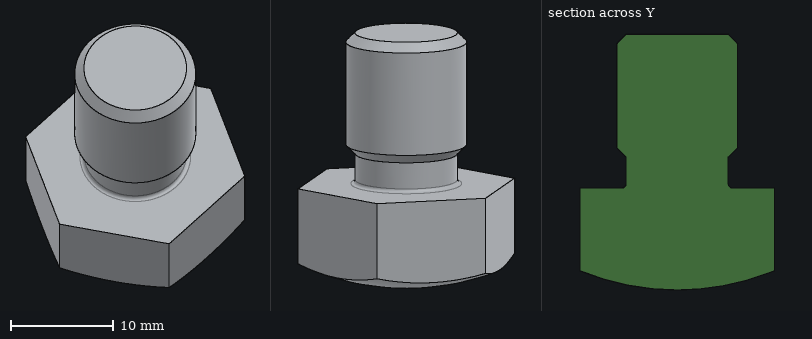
import cadquery as cq
import math

total_height = 25.0
head_height = 10.0
across_flats = 19.0
dome_radius = 25.0
shank_diameter = 11.85
neck_diameter = 10.02
neck_length = 3.0
neck_fillet = 0.4

across_corners = across_flats / math.cos(math.radians(30))
shank_radius = shank_diameter / 2
neck_radius = neck_diameter / 2
chamfer = shank_radius - neck_radius
neck_top = head_height + neck_length


def make_head():
    """Hexagonal head with corners on the Y axis and a domed underside at Z = 0."""
    hexagon = (
        cq.Workplane("XY")
        .polygon(6, across_corners)
        .extrude(head_height)
        .rotate((0, 0, 0), (0, 0, 1), 90)
    )
    dome = cq.Workplane("XY").sphere(dome_radius).translate((0, 0, dome_radius))
    return hexagon.intersect(dome)


def make_shank():
    """Revolved shank with a filleted neck and a chamfer at each end of the full diameter."""
    fillet_mid = neck_fillet * (1 - math.sqrt(0.5))
    return (
        cq.Workplane("XZ")
        .moveTo(0, head_height)
        .lineTo(neck_radius + neck_fillet, head_height)
        .threePointArc(
            (neck_radius + fillet_mid, head_height + fillet_mid),
            (neck_radius, head_height + neck_fillet),
        )
        .lineTo(neck_radius, neck_top)
        .lineTo(shank_radius, neck_top + chamfer)
        .lineTo(shank_radius, total_height - chamfer)
        .lineTo(shank_radius - chamfer, total_height)
        .lineTo(0, total_height)
        .close()
        .revolve(360, (0, 0, 0), (0, 1, 0))
    )


result = make_head().union(make_shank())